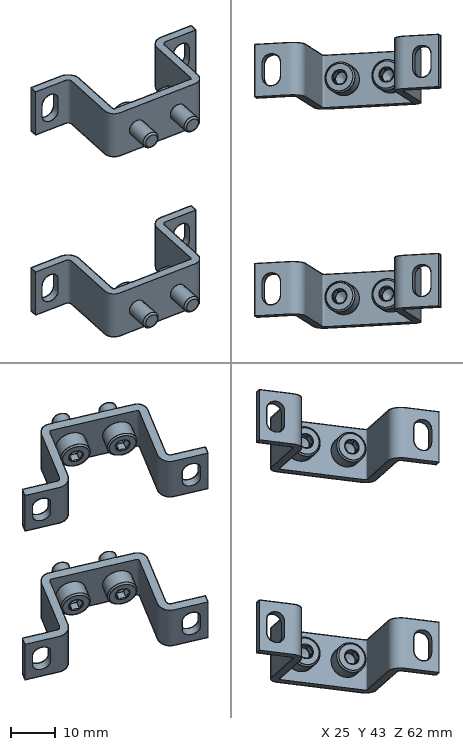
import cadquery as cq
import math

TOTAL_HEIGHT = 62.0
TOTAL_LENGTH = 43.0
TOTAL_DEPTH = 25.0

SHEET = 2.0
BRACKET_HEIGHT = 11.95
BRACKET_DEPTH = 19.0
CHANNEL_WIDTH = 21.0
WEB_BEND = 0.5
FOOT_BEND = 1.0

SLOT_WIDTH = 4.3
SLOT_LENGTH = 7.3
SLOT_PITCH = 35.2

BOLT_PITCH = 11.0
SHANK_DIAMETER = 4.0
SHANK_CHAMFER = 0.45
HEAD_DIAMETER = 7.0
HEAD_HEIGHT = 3.95
HEAD_CHAMFER = 0.4
SOCKET_FLATS = 3.0
SOCKET_DEPTH = 2.0
SOCKET_MOUTH = 3.5
SOCKET_TIP_ANGLE = 120.0

HALF_LENGTH = TOTAL_LENGTH / 2
WALL_INNER = CHANNEL_WIDTH / 2
WALL_OUTER = WALL_INNER + SHEET
WEB_INNER = BRACKET_DEPTH - SHEET
BRACKET_BASES = (0, TOTAL_HEIGHT - BRACKET_HEIGHT)
BOLT_SIDES = (-BOLT_PITCH / 2, BOLT_PITCH / 2)


def sharp_bracket():
    """Hat-shaped sheet with square corners, standing on Z = 0."""
    half_outline = [
        (0, HALF_LENGTH),
        (SHEET, HALF_LENGTH),
        (SHEET, WALL_OUTER),
        (BRACKET_DEPTH, WALL_OUTER),
    ]
    half_inside = [
        (WEB_INNER, WALL_INNER),
        (0, WALL_INNER),
    ]
    mirrored_outline = [(x, -y) for x, y in reversed(half_outline)]
    mirrored_inside = [(x, -y) for x, y in reversed(half_inside)]
    outline = half_outline + mirrored_outline + mirrored_inside + half_inside
    return cq.Workplane("XY").polyline(outline).close().extrude(BRACKET_HEIGHT)


def round_corner(body, x, y, radius):
    """Round the upright edges at (x, y) and (x, -y)."""
    middle = BRACKET_HEIGHT / 2
    for side in (y, -y):
        body = body.edges(cq.selectors.NearestToPointSelector((x, side, middle))).fillet(radius)
    return body


def make_bracket(base):
    bracket = sharp_bracket()
    bracket = round_corner(bracket, WEB_INNER, WALL_INNER, WEB_BEND)
    bracket = round_corner(bracket, BRACKET_DEPTH, WALL_OUTER, WEB_BEND + SHEET)
    bracket = round_corner(bracket, SHEET, WALL_OUTER, FOOT_BEND)
    bracket = round_corner(bracket, 0, WALL_INNER, FOOT_BEND + SHEET)

    mid_height = cq.Workplane("YZ", origin=(0, 0, BRACKET_HEIGHT / 2))
    slots = (
        mid_height.pushPoints([(-SLOT_PITCH / 2, 0), (SLOT_PITCH / 2, 0)])
        .slot2D(SLOT_LENGTH, SLOT_WIDTH, 90)
        .extrude(SHEET)
    )
    bolt_holes = (
        mid_height.pushPoints([(side, 0) for side in BOLT_SIDES])
        .circle(SHANK_DIAMETER / 2)
        .extrude(BRACKET_DEPTH)
    )
    return bracket.cut(slots).cut(bolt_holes).translate((0, 0, base))


def make_socket():
    """Hexagonal recess with a conical lead-in and floor, opening at X = 0."""
    corner_diameter = SOCKET_FLATS / math.cos(math.radians(30))
    tip_radius = SOCKET_FLATS / 2
    tip_depth = tip_radius / math.tan(math.radians(SOCKET_TIP_ANGLE / 2))
    hexagon = cq.Workplane("YZ").polygon(6, corner_diameter).extrude(SOCKET_DEPTH)
    tip = cq.Solid.makeCone(tip_radius, 0, tip_depth, cq.Vector(SOCKET_DEPTH, 0, 0), cq.Vector(1, 0, 0))
    mouth_radius = SOCKET_MOUTH / 2
    mouth = cq.Solid.makeCone(mouth_radius, 0, mouth_radius, cq.Vector(0, 0, 0), cq.Vector(1, 0, 0))
    return hexagon.union(cq.Workplane(tip)).union(cq.Workplane(mouth))


def make_bolt(side, base):
    """Bolt along X, its head seated on the inner face of the web."""
    head_top = WEB_INNER - HEAD_HEIGHT
    head = (
        cq.Workplane("YZ")
        .circle(HEAD_DIAMETER / 2)
        .extrude(HEAD_HEIGHT)
        .faces("<X")
        .edges()
        .chamfer(HEAD_CHAMFER)
    )
    shank = (
        cq.Workplane("YZ")
        .circle(SHANK_DIAMETER / 2)
        .extrude(TOTAL_DEPTH - head_top)
        .faces(">X")
        .chamfer(SHANK_CHAMFER)
    )
    bolt = head.union(shank).cut(make_socket())
    return bolt.translate((head_top, side, base + BRACKET_HEIGHT / 2))


brackets = [make_bracket(base) for base in BRACKET_BASES]
bolts = [make_bolt(side, base) for base in BRACKET_BASES for side in BOLT_SIDES]

result = cq.Compound.makeCompound([body.val() for body in brackets + bolts])